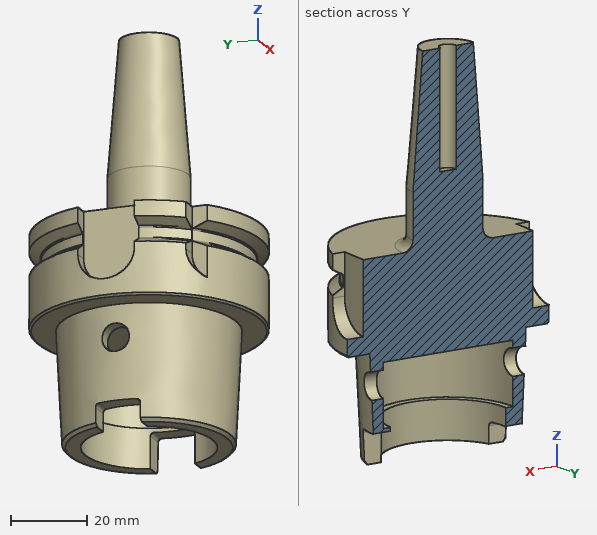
import cadquery as cq
import math

total_height = 112.0
shank_length = 32.0
flange_height = 26.0
flange_top = shank_length + flange_height
cone_start = 74.1

flange_radius = 31.5
shank_top_radius = 24.4
shank_end_radius = 22.8
neck_radius = 11.0
nose_radius = 8.0
neck_fillet = 3.0
fillet_middle = neck_fillet * (1 - math.sqrt(0.5))
shank_chamfer = 0.9
flange_chamfer = 0.6

groove_height = 50.2
groove_floor_half_width = 1.7
groove_depth = 3.1
groove_half_width = groove_floor_half_width + groove_depth * math.tan(math.radians(30))
groove_radius = flange_radius - groove_depth
groove_fillet = 0.5

tool_bore_radius = 2.5
tool_bore_depth = 33.6
shank_mouth_radius = 17.9
shank_chamber_radius = 20.2
shank_chamber_start = 11.2
shank_bore_depth = 29.1
cross_hole_radius = 3.8
cross_hole_height = 23.2

slot_floor = 26.4
slot_bottom = 37.1
left_slot_width = 15.9
right_slot_width = 18.0
notch_floor = 19.9
notch_wall = 20.0

drive_slot_width = 12.5
drive_slot_corner = 1.0
left_drive_slot_depth = 6.0
right_drive_slot_depth = 10.1


def is_groove_corner(edge):
    """True for the two circles where the groove floor meets its sloping sides."""
    return math.isclose(edge.radius(), groove_radius)


def turned_body():
    """Solid of revolution: shank, flange with groove, neck and tapered nose."""
    profile = (
        cq.Workplane("XZ")
        .moveTo(0, 0)
        .lineTo(shank_end_radius - shank_chamfer, 0)
        .lineTo(shank_end_radius, shank_chamfer)
        .lineTo(shank_top_radius, shank_length)
        .lineTo(flange_radius - flange_chamfer, shank_length)
        .lineTo(flange_radius, shank_length + flange_chamfer)
        .lineTo(flange_radius, groove_height - groove_half_width)
        .lineTo(groove_radius, groove_height - groove_floor_half_width)
        .lineTo(groove_radius, groove_height + groove_floor_half_width)
        .lineTo(flange_radius, groove_height + groove_half_width)
        .lineTo(flange_radius, flange_top)
        .lineTo(neck_radius + neck_fillet, flange_top)
        .threePointArc(
            (neck_radius + fillet_middle, flange_top + fillet_middle),
            (neck_radius, flange_top + neck_fillet),
        )
        .lineTo(neck_radius, cone_start)
        .lineTo(nose_radius, total_height)
        .lineTo(0, total_height)
        .close()
    )
    body = profile.revolve(360, (0, 0), (0, 1))
    groove_corners = body.edges("%CIRCLE").filter(is_groove_corner)
    return groove_corners.fillet(groove_fillet)


def flange_slot(side, floor, width, center_y=0):
    """Cutter for a slot open at the flange top, with a round lower end.

    side is +1 or -1 for the +X or -X side; floor is its distance from the axis.
    """
    radius = width / 2
    end_center = slot_bottom + radius
    return (
        cq.Workplane("YZ", origin=(side * floor, center_y, 0))
        .moveTo(-radius, flange_top)
        .lineTo(-radius, end_center)
        .threePointArc((0, slot_bottom), (radius, end_center))
        .lineTo(radius, flange_top)
        .close()
        .extrude(side * flange_radius)
    )


def drive_slot(side, depth):
    """Cutter for a drive slot from the axis out through one shank wall."""
    return (
        cq.Workplane("XY")
        .box(flange_radius, drive_slot_width, depth, centered=(False, True, False))
        .edges("|X and >Z")
        .fillet(drive_slot_corner)
        .rotate((0, 0, 0), (0, 0, 1), 0 if side > 0 else 180)
    )


tool_bore = (
    cq.Workplane("XY", origin=(0, 0, total_height))
    .circle(tool_bore_radius)
    .extrude(-tool_bore_depth)
)
shank_mouth = cq.Workplane("XY").circle(shank_mouth_radius).extrude(shank_chamber_start)
shank_chamber = (
    cq.Workplane("XY", origin=(0, 0, shank_chamber_start))
    .circle(shank_chamber_radius)
    .extrude(shank_bore_depth - shank_chamber_start)
)
cross_hole = (
    cq.Workplane("YZ", origin=(0, 0, cross_hole_height))
    .circle(cross_hole_radius)
    .extrude(flange_radius, both=True)
)

notch_center_y = -notch_wall - left_slot_width / 2

result = (
    turned_body()
    .cut(tool_bore)
    .cut(shank_mouth)
    .cut(shank_chamber)
    .cut(cross_hole)
    .cut(flange_slot(-1, slot_floor, left_slot_width))
    .cut(flange_slot(1, slot_floor, right_slot_width))
    .cut(flange_slot(-1, notch_floor, left_slot_width, notch_center_y))
    .cut(drive_slot(-1, left_drive_slot_depth))
    .cut(drive_slot(1, right_drive_slot_depth))
)